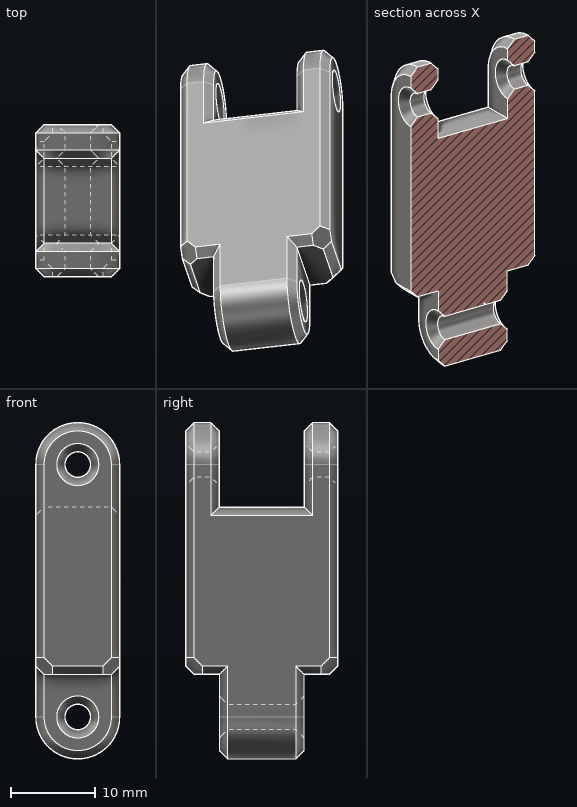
import cadquery as cq

width = 10.0
length = 40.0
clearance = 0.05
arm_thickness = 4.0
chamfer = 1.0
corner_reach = 3.0
pin_diameter = 3.0

end_radius = width / 2
fork_gap = width + 2 * clearance
tongue_thickness = fork_gap
depth = fork_gap + 2 * arm_thickness
fork_depth = width + clearance
shoulder_height = fork_depth
shoulder_width = (depth - tongue_thickness) / 2
fork_floor_height = length - fork_depth
lower_pin_height = end_radius
upper_pin_height = length - end_radius
sink_diameter = pin_diameter + 2 * chamfer
tolerance = 1e-4


def make_blank():
    """Bar with rounded ends, extruded along Y and centred on X and Y."""
    return (
        cq.Workplane("XZ")
        .center(0, length / 2)
        .slot2D(length, width, 90)
        .extrude(depth / 2, both=True)
    )


def cut_fork(body):
    """Open the gap between the two arms at the top end."""
    gap = (
        cq.Workplane("XY", origin=(0, 0, fork_floor_height))
        .box(width, fork_gap, fork_depth, centered=(True, True, False))
    )
    return body.cut(gap)


def cut_shoulders(body):
    """Step both Y sides inwards at the bottom end, leaving the tongue."""
    for side in (-1, 1):
        step_centre = side * (depth - shoulder_width) / 2
        step = (
            cq.Workplane("XY", origin=(0, step_centre, 0))
            .box(width, shoulder_width, shoulder_height, centered=(True, True, False))
        )
        body = body.cut(step)
    return body


def is_sharp_outer_edge(edge):
    """False for the inside corners and for the lines where a flat runs smoothly into a round end."""
    centre = edge.Center()
    box = edge.BoundingBox()
    straight = edge.geomType() == "LINE"
    along_x = straight and box.xlen > tolerance
    along_y = straight and box.ylen > tolerance
    if along_x:
        return abs(abs(centre.y) - depth / 2) < tolerance
    if along_y:
        at_round_end = min(abs(centre.z - lower_pin_height), abs(centre.z - upper_pin_height)) < tolerance
        return not at_round_end
    return True


def chamfer_outer_edges(body):
    """Break every sharp outside edge."""
    sharp_edges = body.edges().filter(is_sharp_outer_edge)
    return sharp_edges.chamfer(chamfer)


def corner_cutter(side_x, side_y):
    """Tetrahedron at one shoulder corner; its sloping face meets X, Y and Z equally."""
    corner_x = side_x * width / 2
    corner_y = side_y * depth / 2
    corner = cq.Vector(corner_x, corner_y, shoulder_height)
    tip_x = cq.Vector(corner_x - side_x * corner_reach, corner_y, shoulder_height)
    tip_y = cq.Vector(corner_x, corner_y - side_y * corner_reach, shoulder_height)
    tip_z = cq.Vector(corner_x, corner_y, shoulder_height + corner_reach)
    triangles = [
        (corner, tip_x, tip_y),
        (corner, tip_y, tip_z),
        (corner, tip_z, tip_x),
        (tip_x, tip_y, tip_z),
    ]
    faces = [cq.Face.makeFromWires(cq.Wire.makePolygon(points, close=True)) for points in triangles]
    return cq.Solid.makeSolid(cq.Shell.makeShell(faces))


def cut_corner_facets(body):
    """Flatten the four bottom outer corners where three chamfers meet."""
    for side_x in (-1, 1):
        for side_y in (-1, 1):
            body = body.cut(cq.Workplane(corner_cutter(side_x, side_y)))
    return body


def pin_hole_cutter(height, wall_centre, wall_thickness):
    """Pin hole through one wall along Y, with a conical mouth on both faces."""
    half_wall = wall_thickness / 2
    half_section = [
        (0, -half_wall),
        (sink_diameter / 2, -half_wall),
        (pin_diameter / 2, chamfer - half_wall),
        (pin_diameter / 2, half_wall - chamfer),
        (sink_diameter / 2, half_wall),
        (0, half_wall),
    ]
    return (
        cq.Workplane("XY", origin=(0, wall_centre, height))
        .polyline(half_section)
        .close()
        .revolve(360, (0, 0, 0), (0, 1, 0))
    )


def cut_pin_holes(body):
    """One hole through the tongue and one through each arm."""
    body = body.cut(pin_hole_cutter(lower_pin_height, 0, tongue_thickness))
    for side in (-1, 1):
        arm_centre = side * (fork_gap + arm_thickness) / 2
        body = body.cut(pin_hole_cutter(upper_pin_height, arm_centre, arm_thickness))
    return body


link = make_blank()
link = cut_fork(link)
link = cut_shoulders(link)
link = chamfer_outer_edges(link)
link = cut_corner_facets(link)
result = cut_pin_holes(link)